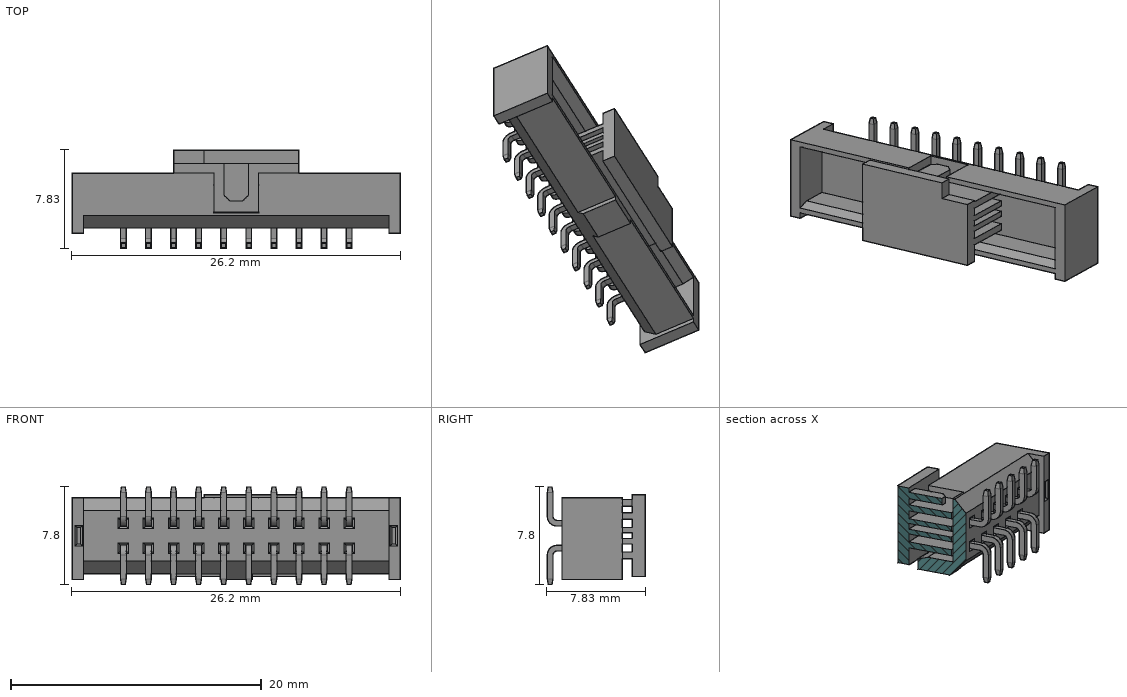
import cadquery as cq
import math


length = 26.17
depth = 4.82
top_z = 3.04
key_width = 2.6
key_height = 0.47
end_wall = 0.92
bottom_z = -top_z - key_height

front_recess = 0.42
front_bevel = 1.02
bevel_z = top_z - front_bevel

cavity_floor_y = 1.65
cavity_half_height = top_z - 0.73
lead_in_rise = 0.31
lead_in_depth = 0.95

slot_width = 3.55

pocket_depth = 0.15
pin_pocket_size = 0.85
end_pocket_width = 0.63
end_pocket_height = 1.65
end_pocket_x = 12.55

pins_per_row = 10
pin_row_length = 18.0
pin_pitch = pin_row_length / (pins_per_row - 1)
pin_row_z = 1.0
pin_size = 0.47
pin_front_y = -1.18
pin_end_z = 3.9
pin_bend_radius = 0.31
pin_tip_length = 0.45
pin_tip_size = 0.31

plate_width = 10.0
plate_half_height = 3.27
plate_front_y = 5.6
plate_thickness = 1.05
notch_width = 2.43
notch_height = 1.33

tab_front_y = 1.73
outer_tab_thickness = 0.55
outer_tab_z = 1.57
inner_tab_thickness = 0.45
inner_tab_z = 0.45

tongue_width = 1.95
tongue_thickness = 0.58
tongue_z = 2.62
tongue_front_y = 2.6
tongue_chamfer = 0.47


def block(x0, x1, y0, y1, z0, z1):
    return cq.Workplane("XY").box(x1 - x0, y1 - y0, z1 - z0, centered=False).translate((x0, y0, z0))


def prism_along_x(points, width):
    """Extrude a closed (y, z) outline to a width centred on X = 0."""
    return cq.Workplane("YZ").polyline(points).close().extrude(width / 2, both=True)


def tapered_pocket(x, y, z, width, height):
    """A recess going in along +Y, with sides sloping at 45 degrees."""
    mouth = cq.Plane(origin=(x, y, z), xDir=(1, 0, 0), normal=(0, 1, 0))
    return cq.Workplane(mouth).rect(width, height).extrude(pocket_depth, taper=45)


def make_shell():
    shell = block(-length / 2, length / 2, 0, depth, bottom_z, top_z)
    inner_width = length - 2 * end_wall

    front_cut = prism_along_x(
        [
            (0, top_z),
            (front_recess + front_bevel, top_z),
            (front_recess, bevel_z),
            (front_recess, -bevel_z),
            (front_recess + front_bevel + key_height, bottom_z),
            (0, bottom_z),
        ],
        inner_width,
    )
    shell = shell.cut(front_cut)

    for side in (-1, 1):
        x_near, x_far = sorted((side * key_width / 2, side * inner_width / 2))
        shell = shell.cut(block(x_near, x_far, 0, depth, bottom_z, -top_z))

    mouth_half_height = cavity_half_height + lead_in_rise
    cavity = prism_along_x(
        [
            (cavity_floor_y, cavity_half_height),
            (depth - lead_in_depth, cavity_half_height),
            (depth, mouth_half_height),
            (depth, -mouth_half_height),
            (depth - lead_in_depth, -cavity_half_height),
            (cavity_floor_y, -cavity_half_height),
        ],
        inner_width,
    )
    shell = shell.cut(cavity)

    shell = shell.cut(block(-slot_width / 2, slot_width / 2, cavity_floor_y, depth, 0, top_z))

    for x in (-end_pocket_x, end_pocket_x):
        shell = shell.cut(tapered_pocket(x, 0, 0, end_pocket_width, end_pocket_height))
    return shell


def make_upper_pin():
    """An upper-row pin at X = 0, from the cavity floor out and up to its tapered tip."""
    root_top = pin_row_z + pin_size / 2
    root_bottom = pin_row_z - pin_size / 2
    leg_back_y = pin_front_y + pin_size
    bend_y = leg_back_y + pin_bend_radius
    bend_z = root_top + pin_bend_radius
    outer_radius = pin_bend_radius + pin_size
    shoulder_z = pin_end_z - pin_tip_length
    diagonal = math.sqrt(0.5)

    wire = (
        cq.Workplane("YZ")
        .moveTo(cavity_floor_y, root_bottom)
        .lineTo(bend_y, root_bottom)
        .threePointArc(
            (bend_y - outer_radius * diagonal, bend_z - outer_radius * diagonal),
            (pin_front_y, bend_z),
        )
        .lineTo(pin_front_y, shoulder_z)
        .lineTo(leg_back_y, shoulder_z)
        .lineTo(leg_back_y, bend_z)
        .threePointArc(
            (bend_y - pin_bend_radius * diagonal, bend_z - pin_bend_radius * diagonal),
            (bend_y, root_top),
        )
        .lineTo(cavity_floor_y, root_top)
        .close()
        .extrude(pin_size / 2, both=True)
    )

    tip_taper = math.degrees(math.atan((pin_size - pin_tip_size) / 2 / pin_tip_length))
    tip = (
        cq.Workplane("XY", origin=(0, pin_front_y + pin_size / 2, shoulder_z))
        .rect(pin_size, pin_size)
        .extrude(pin_tip_length, taper=tip_taper)
    )
    return wire.union(tip)


def make_housing():
    """The shell with its two rows of pins fixed in its floor."""
    housing = make_shell()
    upper_pin = make_upper_pin()
    lower_pin = upper_pin.mirror("XY")
    for i in range(pins_per_row):
        x = -pin_row_length / 2 + i * pin_pitch
        for pin, z in ((upper_pin, pin_row_z), (lower_pin, -pin_row_z)):
            housing = housing.cut(tapered_pocket(x, front_recess, z, pin_pocket_size, pin_pocket_size))
            housing = housing.union(pin.translate((x, 0, 0)))
    return housing


def make_cap():
    """The plate behind the housing, with tabs and a latch tongue reaching forward into it."""
    half_width = plate_width / 2
    plate_back_y = plate_front_y + plate_thickness
    cap = block(-half_width, half_width, plate_front_y, plate_back_y, -plate_half_height, plate_half_height)
    notch = block(
        -half_width,
        -half_width + notch_width,
        plate_front_y,
        plate_back_y,
        plate_half_height - notch_height,
        plate_half_height,
    )
    cap = cap.cut(notch)

    for z, thickness in ((outer_tab_z, outer_tab_thickness), (inner_tab_z, inner_tab_thickness)):
        for centre_z in (-z, z):
            low_z = centre_z - thickness / 2
            tab = block(-half_width, half_width, tab_front_y, plate_front_y, low_z, low_z + thickness)
            cap = cap.union(tab)

    tongue_low_z = tongue_z - tongue_thickness / 2
    tongue = block(
        -tongue_width / 2,
        tongue_width / 2,
        tongue_front_y,
        plate_front_y,
        tongue_low_z,
        tongue_low_z + tongue_thickness,
    )
    tongue = tongue.faces("<Y").edges("|Z").chamfer(tongue_chamfer)
    return cap.union(tongue)


housing = make_housing()
cap = make_cap()

result = cq.Compound.makeCompound([housing.solids().val(), cap.solids().val()])